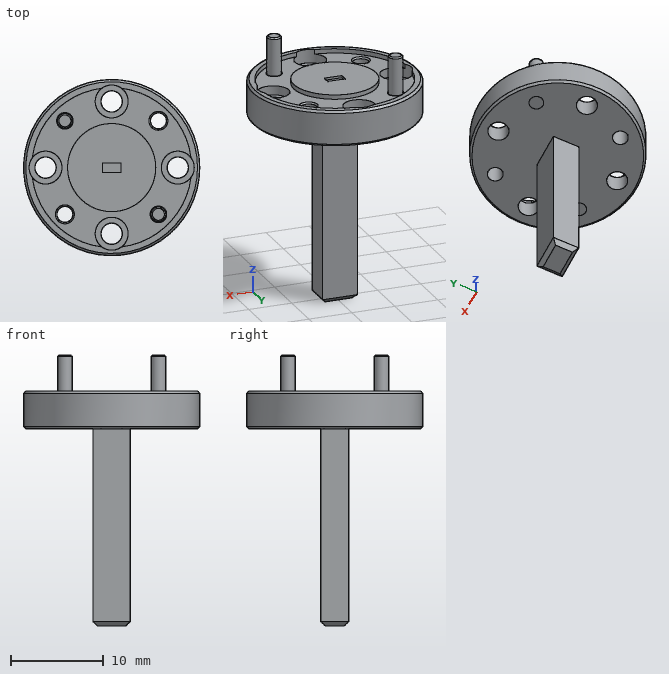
import cadquery as cq
import math

inch = 25.4

flange_diameter = 0.75 * inch
flange_thickness = 4.1
rim_chamfer = 0.01 * inch

boss_diameter = 0.375 * inch
recess_diameter = 0.68 * inch
recess_depth = 0.02 * inch

hole_circle_radius = 0.5625 * inch / 2

screw_hole_diameter = 2.27
counterbore_diameter = 0.14 * inch
counterbore_depth = 1.05
screw_angles = [0, 90, 180, 270]

open_hole_diameter = 1.7
open_hole_chamfer = 0.17
open_hole_angles = [45, 225]
pin_diameter = 1.59
pin_hole_chamfer = 0.1
pin_angles = [135, 315]
pin_height = 3.87
pin_tip_chamfer = 0.15

aperture_width = 0.08 * inch
aperture_height = aperture_width / 2
aperture_depth = 0.01 * inch
stem_wall = 0.04 * inch
stem_width = aperture_width + 2 * stem_wall
stem_depth = aperture_height + 2 * stem_wall
overall_height = 29.27
stem_tip_chamfer = 0.02 * inch

flange_back = -flange_thickness
recess_floor = -recess_depth
stem_length = overall_height - pin_height - flange_thickness


def on_hole_circle(angle):
    """Return the X, Y place on the hole circle at the given angle in degrees."""
    turn = math.radians(angle)
    return (hole_circle_radius * math.cos(turn), hole_circle_radius * math.sin(turn))


def make_disc():
    disc = cq.Workplane("XY").workplane(offset=flange_back)
    disc = disc.circle(flange_diameter / 2).extrude(flange_thickness)
    return disc.faces("<Z or >Z").edges().chamfer(rim_chamfer)


def make_stem():
    stem = cq.Workplane("XY").workplane(offset=flange_back)
    stem = stem.rect(stem_width, stem_depth).extrude(-stem_length)
    return stem.faces("<Z").edges().chamfer(stem_tip_chamfer)


def make_ring_recess():
    ring = cq.Workplane("XY").circle(recess_diameter / 2).circle(boss_diameter / 2)
    return ring.extrude(-recess_depth)


def make_aperture():
    return cq.Workplane("XY").rect(aperture_width, aperture_height).extrude(-aperture_depth)


def make_screw_hole(angle):
    """Through hole with a counterbore that also cuts into the rim."""
    x, y = on_hole_circle(angle)
    start = cq.Workplane("XY").center(x, y)
    bore = start.circle(screw_hole_diameter / 2).extrude(-flange_thickness)
    counterbore = start.circle(counterbore_diameter / 2).extrude(-recess_depth - counterbore_depth)
    return bore.union(counterbore)


def make_chamfered_hole(angle, diameter, chamfer):
    """Through hole with its edge at the recess floor chamfered."""
    radius = diameter / 2
    profile = cq.Workplane("XZ").polyline([
        (0, flange_back),
        (radius, flange_back),
        (radius, recess_floor - chamfer),
        (radius + chamfer, recess_floor),
        (0, recess_floor),
    ]).close()
    hole = profile.revolve(360, (0, 0, 0), (0, 1, 0))
    x, y = on_hole_circle(angle)
    return hole.translate((x, y, 0))


def make_flange():
    flange = make_disc().union(make_stem())
    flange = flange.cut(make_ring_recess()).cut(make_aperture())
    for angle in screw_angles:
        flange = flange.cut(make_screw_hole(angle))
    for angle in open_hole_angles:
        flange = flange.cut(make_chamfered_hole(angle, open_hole_diameter, open_hole_chamfer))
    for angle in pin_angles:
        flange = flange.cut(make_chamfered_hole(angle, pin_diameter, pin_hole_chamfer))
    return flange


def make_pin(angle):
    """Alignment pin reaching from the flange back to its chamfered tip."""
    x, y = on_hole_circle(angle)
    pin = cq.Workplane("XY").workplane(offset=flange_back).center(x, y)
    pin = pin.circle(pin_diameter / 2).extrude(flange_thickness + pin_height)
    return pin.faces(">Z").edges().chamfer(pin_tip_chamfer)


flange = make_flange()
pins = [make_pin(angle) for angle in pin_angles]

result = cq.Compound.makeCompound([flange.val(), *[pin.val() for pin in pins]])